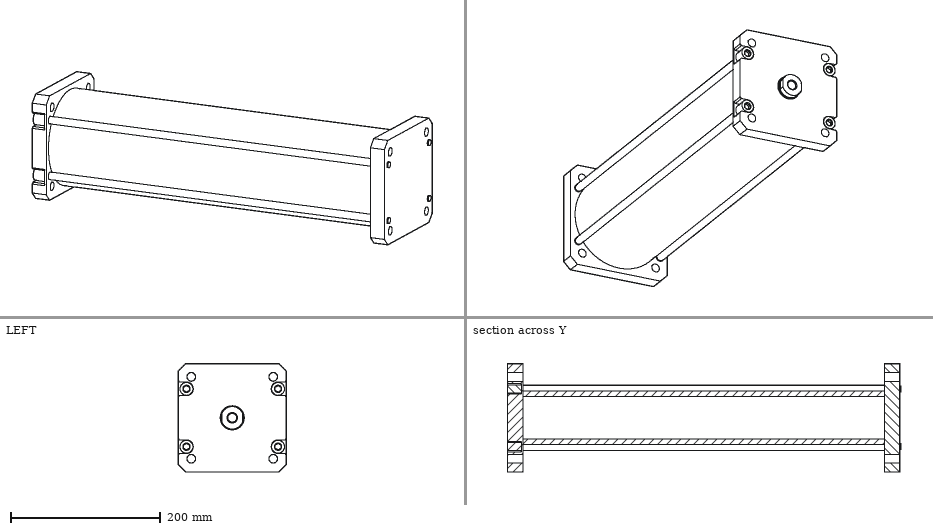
import cadquery as cq
import math

total_length = 538.0
plate_size = 145.0
plate_thickness = 21.0
plate_corner_chamfer = 10.0
rod_protrusion = 11.0
bolt_protrusion = 1.5

front_plate_start = rod_protrusion
front_plate_end = front_plate_start + plate_thickness
rear_plate_end = total_length - bolt_protrusion
rear_plate_start = rear_plate_end - plate_thickness

mounting_hole_offset = 55.0
mounting_hole_diameter = 11.5

tube_diameter = 132.0
bore_diameter = 124.0

bolt_offset_y = 61.5
bolt_offset_z = 39.0
bolt_diameter = 10.0
bolt_end_diameter = 8.0
bolt_head_diameter = 17.0
socket_sides = 6
socket_width = 7.5
socket_depth = 5.0
socket_chamfer = 0.5
socket_chamfer_angle = 45
socket_corner_diameter = socket_width / math.cos(math.pi / socket_sides)
bolt_centers = [(sy * bolt_offset_y, sz * bolt_offset_z) for sy in (-1, 1) for sz in (-1, 1)]

recess_width = 18.5
recess_depth = 18.5
recess_mouth_chamfer = 2.0
recess_floor = front_plate_start + recess_depth

rod_diameter = 31.0
rod_tip_diameter = 30.0
rod_tip_length = 8.5
rod_flat_spacing = 28.0
rod_flat_length = 7.0
rod_hole_diameter = 12.0
rod_hole_depth = 21.5
rod_hole_chamfer = 1.0
rod_hole_tip_angle = 120
rod_bore_chamfer = 0.5


def plane_at(x):
    """Sketch plane facing +X, with local axes along Y and Z."""
    return cq.Workplane("YZ", origin=(x, 0, 0))


def make_plate(start, bolt_hole_diameter):
    """Square plate with chamfered corners, mounting holes and tie bolt holes."""
    mounting_centers = [
        (sy * mounting_hole_offset, sz * mounting_hole_offset) for sy in (-1, 1) for sz in (-1, 1)
    ]
    plate = plane_at(start).rect(plate_size, plate_size).extrude(plate_thickness)
    plate = plate.edges("|X").chamfer(plate_corner_chamfer)
    mounting_holes = plane_at(start).pushPoints(mounting_centers).circle(mounting_hole_diameter / 2)
    bolt_holes = plane_at(start).pushPoints(bolt_centers).circle(bolt_hole_diameter / 2)
    return plate.cut(mounting_holes.extrude(plate_thickness)).cut(bolt_holes.extrude(plate_thickness))


def make_head_recess(center_y, center_z):
    """Round-ended recess that runs out through the nearer Y side with a chamfered mouth."""
    side = 1 if center_y > 0 else -1
    radius = recess_width / 2
    edge = side * plate_size / 2
    mouth_start = edge - side * recess_mouth_chamfer
    mouth_half = radius + recess_mouth_chamfer
    return (
        plane_at(front_plate_start)
        .moveTo(center_y, center_z - radius)
        .lineTo(mouth_start, center_z - radius)
        .lineTo(edge, center_z - mouth_half)
        .lineTo(edge, center_z + mouth_half)
        .lineTo(mouth_start, center_z + radius)
        .lineTo(center_y, center_z + radius)
        .threePointArc((center_y - side * radius, center_z), (center_y, center_z - radius))
        .close()
        .extrude(recess_depth)
    )


def make_front_plate():
    """Plate with four bolt head recesses and a chamfered bore for the piston rod."""
    plate = make_plate(front_plate_start, bolt_diameter)
    for center_y, center_z in bolt_centers:
        plate = plate.cut(make_head_recess(center_y, center_z))
    rod_bore = plane_at(front_plate_start).circle(rod_diameter / 2).extrude(plate_thickness)
    plate = plate.cut(rod_bore)
    bore_rim = cq.selectors.RadiusNthSelector(-1)
    return plate.faces("<X").edges("%CIRCLE").edges(bore_rim).chamfer(rod_bore_chamfer)


def make_tube():
    """Cylinder tube clamped between the two plates."""
    tube_length = rear_plate_start - front_plate_end
    return (
        plane_at(front_plate_end)
        .circle(tube_diameter / 2)
        .circle(bore_diameter / 2)
        .extrude(tube_length)
    )


def make_rod_hole():
    """Drilled hole with a chamfered mouth and a conical bottom, revolved about X."""
    radius = rod_hole_diameter / 2
    tip_length = radius / math.tan(math.radians(rod_hole_tip_angle / 2))
    profile = [
        (0, 0),
        (0, radius + rod_hole_chamfer),
        (rod_hole_chamfer, radius),
        (rod_hole_depth, radius),
        (rod_hole_depth + tip_length, 0),
    ]
    return cq.Workplane("XY").polyline(profile).close().revolve(360, (0, 0), (1, 0))


def make_rod():
    """Piston rod with two wrench flats on its stepped tip and a drilled hole in the free end."""
    body = plane_at(rod_tip_length).circle(rod_diameter / 2).extrude(rear_plate_start - rod_tip_length)
    tip = plane_at(0).circle(rod_tip_diameter / 2).extrude(rod_tip_length)
    full_end = plane_at(0).rect(rod_tip_diameter, rod_tip_diameter).extrude(rod_flat_length)
    between_flats = plane_at(0).rect(rod_flat_spacing, rod_tip_diameter).extrude(rod_flat_length)
    tip = tip.cut(full_end.cut(between_flats))
    return body.union(tip).cut(make_rod_hole())


def make_tie_bolt(center_y, center_z):
    """Bolt from the front recess floor through the rear plate, with a hexagon socket head."""
    head = plane_at(front_plate_start).circle(bolt_head_diameter / 2).extrude(recess_depth)
    shank = plane_at(recess_floor).circle(bolt_diameter / 2).extrude(rear_plate_start - recess_floor)
    threaded_end = plane_at(rear_plate_start).circle(bolt_end_diameter / 2)
    shank = shank.union(threaded_end.extrude(total_length - rear_plate_start))
    socket = (
        plane_at(front_plate_start)
        .transformed(rotate=(0, 0, 90))
        .polygon(socket_sides, socket_corner_diameter)
        .extrude(socket_depth)
    )
    mouth_radius = socket_corner_diameter / 2 + socket_chamfer
    mouth_depth = 2 * socket_chamfer
    socket_mouth = (
        plane_at(front_plate_start)
        .circle(mouth_radius)
        .extrude(mouth_depth, taper=socket_chamfer_angle)
    )
    return head.union(shank).cut(socket).cut(socket_mouth).translate((0, center_y, center_z))


front_plate = make_front_plate()
rear_plate = make_plate(rear_plate_start, bolt_end_diameter)
tube = make_tube()
rod = make_rod()
tie_bolts = [make_tie_bolt(center_y, center_z) for center_y, center_z in bolt_centers]

result = cq.Compound.makeCompound(
    [front_plate.val(), rear_plate.val(), tube.val(), rod.val(), *[bolt.val() for bolt in tie_bolts]]
)